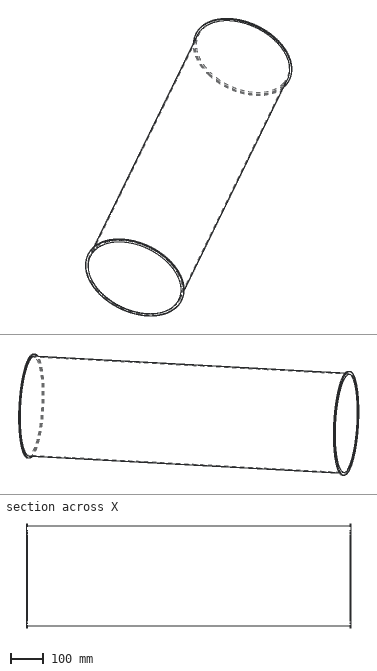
import cadquery as cq

length = 988.0
bore_diameter = 299.0
tube_diameter = 305.0
flange_diameter = 317.0
flange_thickness = 4.0


def disc(diameter, start, depth):
    """Solid disc centred on the Y axis, from start along +Y."""
    plane = cq.Workplane("XZ", origin=(0, start, 0))
    return plane.circle(diameter / 2).extrude(-depth)


near_end = -length / 2
far_end = length / 2
body = disc(tube_diameter, near_end, length)

for flange_start in (near_end, far_end - flange_thickness):
    body = body.union(disc(flange_diameter, flange_start, flange_thickness))

result = body.cut(disc(bore_diameter, near_end, length))